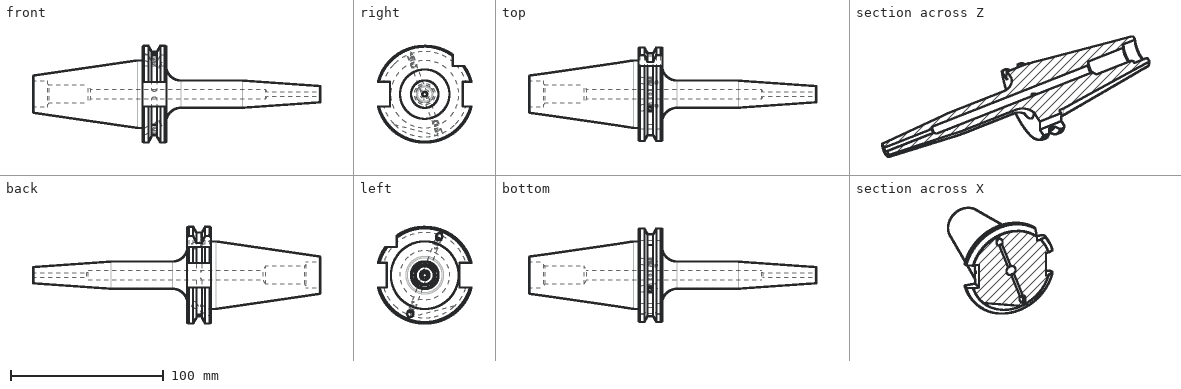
import cadquery as cq
import math


gauge_radius = 44.45 / 2
taper_length = 68.4
taper_ratio = 7 / 24
taper_end_radius = gauge_radius - taper_length * taper_ratio / 2
mouth_rounding = 1.0

flange_radius = 63.55 / 2
flange_start = 3.2
flange_end = 19.1
rear_chamfer = 1.0
front_chamfer_length = 1.2
front_chamfer_height = 0.6
groove_center = 11.1
groove_floor_radius = 56.25 / 2
groove_floor_width = 3.75
groove_wall_angle = math.radians(30)

nose_end = 120.0
shank_radius = 9.0
shank_end = 68.8
tip_radius = 5.45
tip_rounding = 0.8
neck_fillet_radius = 10.0
neck_fillet_end = 28.7

mouth_bore_radius = 8.5
mouth_bore_depth = 9.5
mouth_bore_chamfer = 0.6
thread_mouth_radius = 6.9
thread_bore_radius = 5.9
thread_bore_depth = 36.0
channel_radius = 3.1
drill_half_angle = math.radians(59)
channel_end = 84.0
tool_bore_radius = 1.5

drive_slot_width = 16.1
rear_slot_floor = 25.0
front_slot_floor = 22.8
notch_corner = 18.5
flat_distance = 24.35
flat_width = 3.4
flat_angle = 75.5

coolant_radius = 2.0
coolant_circle_radius = 27.0
coolant_tilt = math.radians(30)
coolant_turn = 20.5
coolant_turns = [coolant_turn, coolant_turn + 180]
plug_radius = 1.7
plug_top = 27.2
plug_length = 1.2
coolant_end = 15.0


def outer_body():
    """Taper, grooved flange, shank and nose, turned about X."""
    floor_half = groove_floor_width / 2
    groove_depth = flange_radius - groove_floor_radius
    mouth_half = floor_half + groove_depth * math.tan(groove_wall_angle)

    fillet_center_r = shank_radius + neck_fillet_radius
    fillet_run = neck_fillet_end - flange_end
    fillet_start_angle = math.asin(fillet_run / neck_fillet_radius)
    fillet_start_r = fillet_center_r - neck_fillet_radius * math.cos(fillet_start_angle)
    fillet_mid = (
        neck_fillet_end - neck_fillet_radius * math.sin(fillet_start_angle / 2),
        fillet_center_r - neck_fillet_radius * math.cos(fillet_start_angle / 2),
    )

    arc_inset = 1 - math.sqrt(0.5)
    rounded_edge_radius = taper_end_radius + mouth_rounding * taper_ratio / 2
    mouth_inset = mouth_rounding * arc_inset
    mouth_mid = (-taper_length + mouth_inset, rounded_edge_radius - mouth_inset)
    tip_inset = tip_rounding * arc_inset
    tip_mid = (nose_end - tip_inset, tip_radius - tip_inset)

    profile = (
        cq.Workplane("XZ")
        .moveTo(-taper_length, 0)
        .lineTo(-taper_length, rounded_edge_radius - mouth_rounding)
        .threePointArc(mouth_mid, (-taper_length + mouth_rounding, rounded_edge_radius))
        .lineTo(0, gauge_radius)
        .lineTo(flange_start, gauge_radius)
        .lineTo(flange_start, flange_radius - rear_chamfer)
        .lineTo(flange_start + rear_chamfer, flange_radius)
        .lineTo(groove_center - mouth_half, flange_radius)
        .lineTo(groove_center - floor_half, groove_floor_radius)
        .lineTo(groove_center + floor_half, groove_floor_radius)
        .lineTo(groove_center + mouth_half, flange_radius)
        .lineTo(flange_end - front_chamfer_length, flange_radius)
        .lineTo(flange_end, flange_radius - front_chamfer_height)
        .lineTo(flange_end, fillet_start_r)
        .threePointArc(fillet_mid, (neck_fillet_end, shank_radius))
        .lineTo(shank_end, shank_radius)
        .lineTo(nose_end - tip_rounding, tip_radius)
        .threePointArc(tip_mid, (nose_end, tip_radius - tip_rounding))
        .lineTo(nose_end, 0)
        .close()
    )
    return profile.revolve(360, (0, 0, 0), (1, 0, 0))


def bore():
    """Stepped bore along the whole axis."""
    mouth = -taper_length
    shoulder = mouth + mouth_bore_depth
    thread_chamfer = thread_mouth_radius - thread_bore_radius
    thread_end = mouth + thread_bore_depth
    thread_point = (thread_bore_radius - channel_radius) / math.tan(drill_half_angle)
    channel_point = (channel_radius - tool_bore_radius) / math.tan(drill_half_angle)
    profile = (
        cq.Workplane("XZ")
        .moveTo(mouth, 0)
        .lineTo(mouth, mouth_bore_radius + mouth_bore_chamfer)
        .lineTo(mouth + mouth_bore_chamfer, mouth_bore_radius)
        .lineTo(shoulder, mouth_bore_radius)
        .lineTo(shoulder, thread_mouth_radius)
        .lineTo(shoulder + thread_chamfer, thread_bore_radius)
        .lineTo(thread_end, thread_bore_radius)
        .lineTo(thread_end + thread_point, channel_radius)
        .lineTo(channel_end, channel_radius)
        .lineTo(channel_end + channel_point, tool_bore_radius)
        .lineTo(nose_end, tool_bore_radius)
        .lineTo(nose_end, 0)
        .close()
    )
    return profile.revolve(360, (0, 0, 0), (1, 0, 0))


def flange_cut(y_start, y_size, z_start, z_size):
    """Block as long as the flange, for cutting its rim."""
    return cq.Workplane("XY").box(
        flange_end - flange_start, y_size, z_size, centered=False
    ).translate((flange_start, y_start, z_start))


def drive_slots():
    """The two slots of unequal depth on the +Y and -Y sides."""
    bottom = -drive_slot_width / 2
    rear = flange_cut(rear_slot_floor, flange_radius, bottom, drive_slot_width)
    front = flange_cut(-front_slot_floor - flange_radius, flange_radius, bottom, drive_slot_width)
    return rear.union(front)


def orientation_notch():
    """Square-cornered notch in the +Y +Z part of the rim."""
    return flange_cut(notch_corner, flange_radius, notch_corner, flange_radius)


def groove_flat():
    """Flat milled into the groove floor."""
    block = cq.Workplane("XY").box(flat_width, 2 * flange_radius, flange_radius)
    block = block.translate((groove_center, 0, -flat_distance - flange_radius / 2))
    return block.rotate((0, 0, 0), (1, 0, 0), flat_angle - 90)


def radial_cylinder(radius, bottom, top, turn):
    """Cylinder pointing outwards in the middle of the groove."""
    cylinder = cq.Workplane("XY").circle(radius).extrude(top - bottom)
    cylinder = cylinder.translate((groove_center, 0, bottom))
    return cylinder.rotate((0, 0, 0), (1, 0, 0), turn)


def coolant_hole(turn):
    """Slanted hole from the rear flange face into the cross hole."""
    direction = cq.Vector(math.cos(coolant_tilt), 0, -math.sin(coolant_tilt))
    length = (coolant_end - flange_start) / math.cos(coolant_tilt)
    lead_in = 2 * coolant_radius
    start = cq.Vector(flange_start, 0, coolant_circle_radius) - direction * lead_in
    hole = cq.Solid.makeCylinder(coolant_radius, length + lead_in, start, direction)
    return cq.Workplane(hole).rotate((0, 0, 0), (1, 0, 0), turn)


def make_holder():
    """Tool holder with all its cuts."""
    body = outer_body().cut(bore()).cut(drive_slots()).cut(orientation_notch()).cut(groove_flat())
    for turn in coolant_turns:
        body = body.cut(coolant_hole(turn))
        body = body.cut(radial_cylinder(plug_radius, 0, flange_radius, turn))
    return body


def make_plug(turn):
    """Plug closing one cross hole, set just below the groove floor."""
    return radial_cylinder(plug_radius, plug_top - plug_length, plug_top, turn)


holder = make_holder()
plugs = [make_plug(turn) for turn in coolant_turns]

result = cq.Compound.makeCompound([holder.val(), *[plug.val() for plug in plugs]])